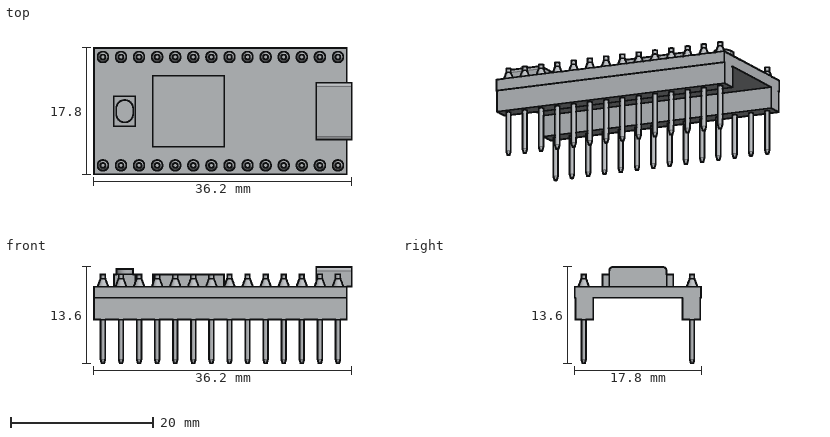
import cadquery as cq


overall_length = 36.25
board_length = 35.57
board_width = 17.75
board_thickness = 1.6

pins_per_row = 14
pin_pitch = board_length / pins_per_row
pin_edge_distance = pin_pitch / 2
pin_row_y = board_width / 2 - pin_edge_distance
header_width = 2.55
header_height = 3.05
header_inset = 0.1

pin_diameter = 0.7
pin_tip_diameter = 0.35
pin_tip_length = 0.58
pin_shank_length = 5.6
pin_height_above_board = 1.7
solder_diameter = 1.52
solder_height = 1.12

chip_side = 10.0
chip_height = 1.7
chip_x = 8.3

button_length = 3.0
button_width = 4.2
button_height = chip_height
button_x = 2.83
cap_length = 3.15
cap_width = 2.35
cap_height = 0.8

connector_length = 5.05
connector_width = 8.05
connector_height = 2.75
connector_fillet = 0.5


def block(x_start, length, width, height):
    """Box standing on the board, centred across its width."""
    box = cq.Workplane("XY").box(length, width, height, centered=(False, True, False))
    return box.translate((x_start, 0, 0))


def make_board():
    return block(0, board_length, board_width, board_thickness).translate((0, 0, -board_thickness))


def make_header(side):
    """Plastic strip under the board; side is -1 or 1 along Y."""
    center_y = side * (board_width / 2 - header_inset - header_width / 2)
    bottom_z = -board_thickness - header_height
    return block(0, board_length, header_width, header_height).translate((0, center_y, bottom_z))


def make_pin():
    """Pin and solder cone, revolved about the vertical line through the origin."""
    pin_radius = pin_diameter / 2
    shank_bottom_z = -board_thickness - header_height - pin_shank_length
    tip_z = shank_bottom_z - pin_tip_length
    profile = [
        (0, tip_z),
        (pin_tip_diameter / 2, tip_z),
        (pin_radius, shank_bottom_z),
        (pin_radius, 0),
        (solder_diameter / 2, 0),
        (pin_radius, solder_height),
        (pin_radius, pin_height_above_board),
        (0, pin_height_above_board),
    ]
    return cq.Workplane("XZ").polyline(profile).close().revolve(360, (0, 0, 0), (0, 1, 0))


def make_button():
    base = block(button_x, button_length, button_width, button_height)
    cap = cq.Workplane("XY").slot2D(cap_length, cap_width, 90).extrude(cap_height)
    return base.union(cap.translate((button_x + button_length / 2, 0, button_height)))


def make_connector():
    body = block(overall_length - connector_length, connector_length, connector_width, connector_height)
    return body.faces(">Z").edges("|X").fillet(connector_fillet)


result = make_board()
result = result.union(block(chip_x, chip_side, chip_side, chip_height))
result = result.union(make_button())
result = result.union(make_connector())

pin = make_pin()
for side in (-1, 1):
    result = result.union(make_header(side))
    for index in range(pins_per_row):
        pin_x = pin_edge_distance + index * pin_pitch
        result = result.union(pin.translate((pin_x, side * pin_row_y, 0)))